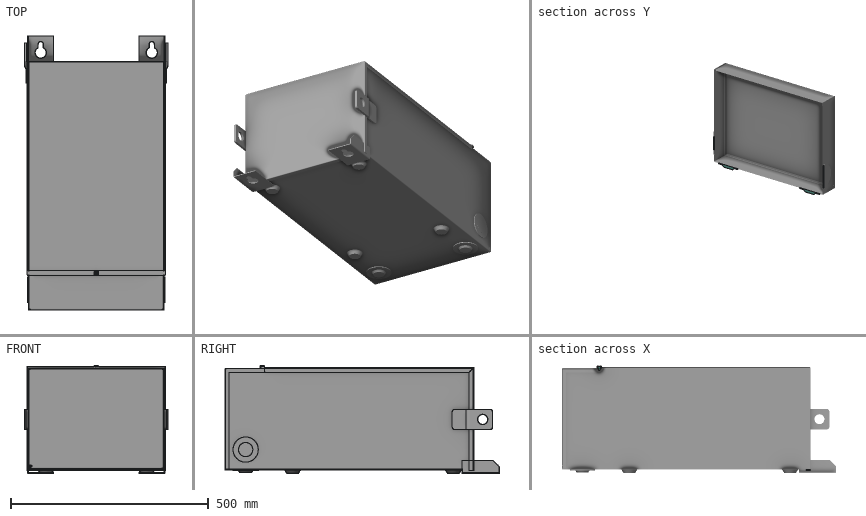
import cadquery as cq
import math


HOUSING_HALF_WIDTH = 171.5
HOUSING_FLOOR_Z = 9.0
HOUSING_TOP_Z = 266.1
HOUSING_SHEET = 1.7
WALL_FRONT_RADIUS = 3.1

FOOT_X = 128.0
FOOT_TOP_RADIUS = 20.0
FOOT_BOTTOM_RADIUS = 14.5
FRONT_FOOT_Y = 171.0
REAR_FOOT_Y = 577.0
KNOCKOUT_Y = 52.0
KNOCKOUT_Z = 60.5
KNOCKOUT_RADIUS = 32.0
KNOCKOUT_CENTRE_RADIUS = 18.0
KNOCKOUT_HEIGHT = 2.0
KNOCKOUT_CENTRE_STEP = 0.35
KNOCKOUT_FOOT_Z = 2.0
WEEP_HOLE_RADIUS = 2.0
WEEP_HOLE_INSET = 6.6
WEEP_HOLE_Z = 19.0

LID_HALF_WIDTH = 175.5
LID_SHEET = 2.0
LID_SIDE_SHEET = 1.7
LID_REAR_Y = 629.0
LID_FLANGE = 12.5
LID_BEND_RADIUS = 1.7
LID_FLANGE_CORNER = 2.0
MITRE_GAP = 1.0
LIP_FRONT_Y = 88.0
LIP_LENGTH = 12.0
LIP_EDGE_RADIUS = 1.05

COVER_BEND_RADIUS = 3.1
COVER_CLEARANCE = 1.0
COVER_FLANGE = 10.5

SCREW_TOP_Z = 273.0
SCREW_HEAD_RADIUS = 6.0
SCREW_HEAD_CHAMFER = 2.0
SCREW_SOCKET_RADIUS = 2.4
SCREW_SOCKET_DEPTH = 1.5
SCREW_SHANK_RADIUS = 2.0
SCREW_SHANK_LENGTH = 10.5

BRACKET_SHEET = 2.0
BRACKET_REAR_Y = 694
BRACKET_FRONT_Y = 599.5
BRACKET_WIDTH = 66.0
BRACKET_HEIGHT = 33.0
BRACKET_CHAMFER = 16.5
BRACKET_BEND_RADIUS = 3.0
BRACKET_EDGE_RADIUS = 1.7
KEYHOLE_Y = 651.5
KEYHOLE_RADIUS = 14.0
KEYHOLE_SLOT_RADIUS = 6.0
KEYHOLE_SLOT_LENGTH = 21.5

LUG_THICKNESS = 6.1
LUG_OFFSET = 4.0
LUG_FRONT_Y = 574.5
LUG_REAR_Y = 676.5
LUG_STEP_FRONT_Y = 609.0
LUG_STEP_REAR_Y = 617.0
LUG_STEP_RADIUS = 14.0
LUG_CENTRE_Z = 137.0
LUG_HEIGHT = 51.0
LUG_HOLE_Y = 651.5
LUG_HOLE_RADIUS = 12.5
LUG_FRONT_CORNER = 7.0
LUG_REAR_CORNER = 5.5

LID_TOP_Z = HOUSING_TOP_Z + LID_SHEET
LID_INNER_REAR_Y = LID_REAR_Y - LID_SHEET
LIP_TOP_Z = LID_TOP_Z + LID_SHEET
LIP_REAR_Y = LIP_FRONT_Y + LIP_LENGTH
SCREW_Y = LIP_FRONT_Y + LIP_LENGTH / 2
SCREW_HEAD_HEIGHT = SCREW_TOP_Z - LIP_TOP_Z
COVER_HALF_WIDTH = HOUSING_HALF_WIDTH - HOUSING_SHEET
FLOOR_INNER_Z = HOUSING_FLOOR_Z + HOUSING_SHEET
COVER_BOTTOM_Z = FLOOR_INNER_Z + COVER_CLEARANCE
COVER_TOP_Z = HOUSING_TOP_Z - COVER_CLEARANCE
BRACKET_OUTER_X = HOUSING_HALF_WIDTH + BRACKET_SHEET
SIDES = (-1, 1)


def block(x_range, y_range, z_range):
    """Axis-aligned box spanning the given coordinate ranges."""
    size = [high - low for low, high in (x_range, y_range, z_range)]
    corner = (x_range[0], y_range[0], z_range[0])
    return cq.Workplane("XY").box(*size, centered=False).translate(corner)


def centred(half_width):
    return (-half_width, half_width)


def nearest_to(point):
    return cq.selectors.NearestToPointSelector(point)


def cone_foot(x, y, bottom_z):
    """Tapered foot pressed down from the housing floor to bottom_z."""
    height = HOUSING_FLOOR_Z - bottom_z
    cone = cq.Solid.makeCone(
        FOOT_TOP_RADIUS, FOOT_BOTTOM_RADIUS, height, cq.Vector(x, y, HOUSING_FLOOR_Z), cq.Vector(0, 0, -1)
    )
    return cq.Workplane(obj=cone)


def disc(radius, height, centre, direction):
    return cq.Workplane(obj=cq.Solid.makeCylinder(radius, height, cq.Vector(*centre), cq.Vector(*direction)))


def make_housing():
    y_range = (0, LID_INNER_REAR_Y)
    body = block(centred(HOUSING_HALF_WIDTH), y_range, (HOUSING_FLOOR_Z, HOUSING_TOP_Z))
    body = body.edges("|Y and <Z").fillet(HOUSING_SHEET)
    body = body.edges("|X and <Y and >Z").fillet(WALL_FRONT_RADIUS)
    body = body.cut(block(centred(COVER_HALF_WIDTH), y_range, (FLOOR_INNER_Z, HOUSING_TOP_Z)))

    for side in SIDES:
        centre = (side * HOUSING_HALF_WIDTH, KNOCKOUT_Y, KNOCKOUT_Z)
        outward = (side, 0, 0)
        body = body.union(disc(KNOCKOUT_RADIUS, KNOCKOUT_HEIGHT, centre, outward))
        centre_height = KNOCKOUT_HEIGHT + KNOCKOUT_CENTRE_STEP
        body = body.union(disc(KNOCKOUT_CENTRE_RADIUS, centre_height, centre, outward))

        floor_centre = (side * FOOT_X, KNOCKOUT_Y, HOUSING_FLOOR_Z)
        body = body.union(disc(KNOCKOUT_RADIUS, KNOCKOUT_HEIGHT, floor_centre, (0, 0, -1)))
        body = body.union(cone_foot(side * FOOT_X, KNOCKOUT_Y, KNOCKOUT_FOOT_Z))
        for foot_y in (FRONT_FOOT_Y, REAR_FOOT_Y):
            body = body.union(cone_foot(side * FOOT_X, foot_y, 0))

    weep_centre = (-HOUSING_HALF_WIDTH, WEEP_HOLE_INSET, WEEP_HOLE_Z)
    return body.cut(disc(WEEP_HOLE_RADIUS, HOUSING_SHEET, weep_centre, (1, 0, 0)))


def make_lid():
    inner_half_width = LID_HALF_WIDTH - LID_SIDE_SHEET
    bottom_z = HOUSING_FLOOR_Z - LID_SHEET
    shell = block(centred(LID_HALF_WIDTH), (LIP_REAR_Y, LID_REAR_Y), (bottom_z, LID_TOP_Z))
    shell = shell.edges("(|Y and >Z) or (|Y and <Z) or (|Z and >Y) or (|X and >Y)").fillet(LID_BEND_RADIUS)
    cavity = block(centred(inner_half_width), (0, LID_INNER_REAR_Y), (0, HOUSING_TOP_Z))
    shell = shell.cut(cavity)

    flange_front_y = LID_REAR_Y - LID_FLANGE
    flange_bottom_z = LID_TOP_Z - LID_FLANGE
    shell = shell.cut(block(centred(LID_HALF_WIDTH), (0, flange_front_y), (0, flange_bottom_z)))
    for side in SIDES:
        corner = (side * LID_HALF_WIDTH, LIP_REAR_Y, flange_bottom_z)
        shell = shell.edges("|X").edges(nearest_to(corner)).chamfer(LID_FLANGE_CORNER)

    mitre = (
        cq.Workplane("YZ")
        .center(LID_REAR_Y - LID_FLANGE / 2, LID_TOP_Z - LID_FLANGE / 2)
        .transformed(rotate=(0, 0, 45))
        .rect(LID_FLANGE * math.sqrt(2), MITRE_GAP)
        .extrude(LID_HALF_WIDTH, both=True)
    )
    flange_area = block(centred(LID_HALF_WIDTH), (0, LID_INNER_REAR_Y), (0, HOUSING_TOP_Z)).cut(cavity)
    shell = shell.cut(mitre.intersect(flange_area))

    fold_y_range = (flange_front_y, LID_INNER_REAR_Y)
    fold = block(centred(COVER_HALF_WIDTH), fold_y_range, (bottom_z, HOUSING_FLOOR_Z))

    lip = block(centred(LID_HALF_WIDTH), (LIP_FRONT_Y, LIP_REAR_Y), (HOUSING_TOP_Z, LIP_TOP_Z))
    lip = lip.edges("|Z and <Y").chamfer(LID_FLANGE_CORNER)
    lip = lip.edges("|X and <Y and >Z").fillet(LIP_EDGE_RADIUS)
    lid = shell.union(fold).union(lip).cut(screw_shank())

    for side in SIDES:
        slot_x_range = sorted((side * HOUSING_HALF_WIDTH, side * BRACKET_OUTER_X))
        lid = lid.cut(block(slot_x_range, (LID_INNER_REAR_Y, LID_REAR_Y), (0, BRACKET_HEIGHT)))
    return lid


def make_cover():
    sheet = HOUSING_SHEET
    outer = block(centred(COVER_HALF_WIDTH), (0, LIP_REAR_Y), (COVER_BOTTOM_Z, COVER_TOP_Z))
    outer = outer.edges("<Y or (|Y and >Z)").fillet(COVER_BEND_RADIUS)
    inner = block(
        centred(COVER_HALF_WIDTH - sheet),
        (sheet, LIP_REAR_Y),
        (COVER_BOTTOM_Z + sheet, COVER_TOP_Z - sheet),
    )
    inner = inner.edges("<Y or (|Y and >Z)").fillet(COVER_BEND_RADIUS - sheet)
    below_flanges = block(
        centred(COVER_HALF_WIDTH), (COVER_FLANGE, LIP_REAR_Y), (COVER_BOTTOM_Z, COVER_TOP_Z - COVER_FLANGE)
    )
    cover = outer.cut(inner).cut(below_flanges)
    weep_centre = (WEEP_HOLE_INSET - HOUSING_HALF_WIDTH, 0, WEEP_HOLE_Z)
    cover = cover.cut(disc(WEEP_HOLE_RADIUS, sheet, weep_centre, (0, 1, 0)))
    return cover.cut(screw_shank())


def screw_shank():
    return disc(SCREW_SHANK_RADIUS, SCREW_SHANK_LENGTH, (0, SCREW_Y, LIP_TOP_Z), (0, 0, -1))


def make_screw():
    head = disc(SCREW_HEAD_RADIUS, SCREW_HEAD_HEIGHT, (0, SCREW_Y, LIP_TOP_Z), (0, 0, 1))
    head = head.faces(">Z").edges().chamfer(SCREW_HEAD_CHAMFER)
    socket = disc(SCREW_SOCKET_RADIUS, SCREW_SOCKET_DEPTH, (0, SCREW_Y, SCREW_TOP_Z), (0, 0, -1))
    return head.cut(socket).union(screw_shank())


def make_bracket(side):
    """L-shaped wall bracket: an upright against the housing wall and a base with a keyhole."""
    y_range = (BRACKET_FRONT_Y, BRACKET_REAR_Y)
    upright = block((HOUSING_HALF_WIDTH, BRACKET_OUTER_X), y_range, (0, BRACKET_HEIGHT))
    upright = upright.edges("|X and >Y and >Z").chamfer(BRACKET_CHAMFER)
    base = block((BRACKET_OUTER_X - BRACKET_WIDTH, BRACKET_OUTER_X), y_range, (0, BRACKET_SHEET))
    base = base.edges("|Y and <X and >Z").fillet(BRACKET_EDGE_RADIUS)
    bracket = base.union(upright).edges("|Y and >X and <Z").fillet(BRACKET_BEND_RADIUS)

    keyhole_x = BRACKET_OUTER_X - BRACKET_WIDTH / 2
    slot_end_y = KEYHOLE_Y + KEYHOLE_SLOT_LENGTH
    slot_x_range = (keyhole_x - KEYHOLE_SLOT_RADIUS, keyhole_x + KEYHOLE_SLOT_RADIUS)
    bracket = bracket.cut(disc(KEYHOLE_RADIUS, BRACKET_SHEET, (keyhole_x, KEYHOLE_Y, 0), (0, 0, 1)))
    bracket = bracket.cut(disc(KEYHOLE_SLOT_RADIUS, BRACKET_SHEET, (keyhole_x, slot_end_y, 0), (0, 0, 1)))
    bracket = bracket.cut(block(slot_x_range, (KEYHOLE_Y, slot_end_y), (0, BRACKET_SHEET)))
    return bracket if side > 0 else bracket.mirror("YZ")


def make_lug(side):
    """Joggled lifting lug: fixed to the housing wall in front, stepping out around the lid flange."""
    fixed_inner_x = HOUSING_HALF_WIDTH
    fixed_outer_x = fixed_inner_x + LUG_THICKNESS
    profile = [
        (fixed_inner_x, LUG_FRONT_Y),
        (fixed_outer_x, LUG_FRONT_Y),
        (fixed_outer_x, LUG_STEP_FRONT_Y),
        (fixed_outer_x + LUG_OFFSET, LUG_STEP_REAR_Y),
        (fixed_outer_x + LUG_OFFSET, LUG_REAR_Y),
        (fixed_inner_x + LUG_OFFSET, LUG_REAR_Y),
        (fixed_inner_x + LUG_OFFSET, LUG_STEP_REAR_Y),
        (fixed_inner_x, LUG_STEP_FRONT_Y),
    ]
    bottom_z = LUG_CENTRE_Z - LUG_HEIGHT / 2
    lug = cq.Workplane("XY").workplane(offset=bottom_z).polyline(profile).close().extrude(LUG_HEIGHT)
    step_edge = nearest_to((fixed_outer_x + LUG_OFFSET, LUG_STEP_REAR_Y, LUG_CENTRE_Z))
    lug = lug.edges("|Z").edges(step_edge).fillet(LUG_STEP_RADIUS)
    lug = lug.edges("|X and <Y").fillet(LUG_FRONT_CORNER)
    lug = lug.edges("|X and >Y").fillet(LUG_REAR_CORNER)
    hole_centre = (fixed_inner_x, LUG_HOLE_Y, LUG_CENTRE_Z)
    lug = lug.cut(disc(LUG_HOLE_RADIUS, LUG_THICKNESS + LUG_OFFSET, hole_centre, (1, 0, 0)))
    return lug if side > 0 else lug.mirror("YZ")


housing = make_housing()
lid = make_lid()
cover = make_cover()
screw = make_screw()
brackets = [make_bracket(side) for side in SIDES]
lugs = [make_lug(side) for side in SIDES]

result = cq.Compound.makeCompound(
    [housing.val(), lid.val(), cover.val(), screw.val()]
    + [bracket.val() for bracket in brackets]
    + [lug.val() for lug in lugs]
)